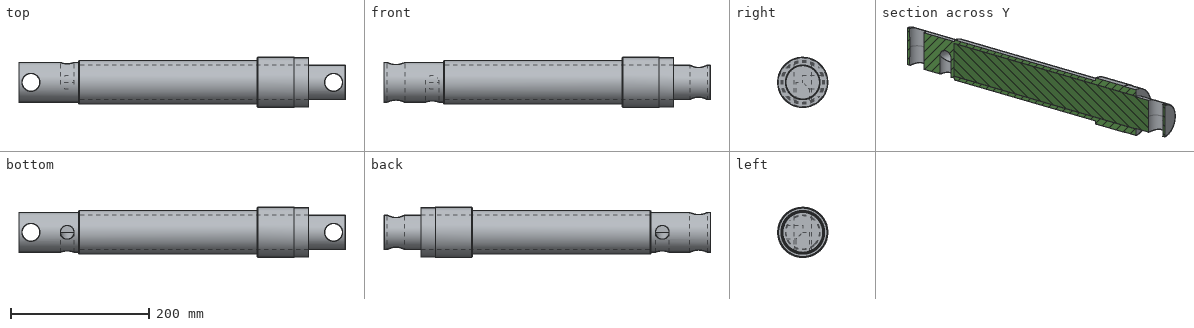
import cadquery as cq

TOTAL_LENGTH = 473.0
TUBE_START = 86.0
HEAD_START = 345.0
COLLAR_START = 398.5
HEAD_END = 419.5

BASE_DIAMETER = 57.5
TUBE_DIAMETER = 63.5
HEAD_DIAMETER = 73.0
COLLAR_DIAMETER = 72.0
ROD_DIAMETER = 50.0
PIN_HOLE_DIAMETER = 25.5
PORT_DIAMETER = 20.0

STEP_CHAMFER = 1.5
ROD_CHAMFER = 1.0

BASE_PIN_X = 17.5
ROD_PIN_X = TOTAL_LENGTH - 17.5
PORT_X = 70.0


def cylinder(start, end, diameter):
    """Cylinder along X between two axial positions."""
    return cq.Workplane("YZ", origin=(start, 0, 0)).circle(diameter / 2).extrude(end - start)


def pin_hole(x):
    """Cutter for a pin hole running through along Z."""
    return cq.Workplane("XY", origin=(x, 0, 0)).circle(PIN_HOLE_DIAMETER / 2).extrude(HEAD_DIAMETER, both=True)


def port(plane):
    """Cutter for a port from the axis outward, along the negative normal of the plane."""
    return cq.Workplane(plane, origin=(PORT_X, 0, 0)).circle(PORT_DIAMETER / 2).extrude(-BASE_DIAMETER)


def make_housing():
    """Stepped housing with a base pin hole, two ports and a blind bore for the rod."""
    base = cylinder(0, TUBE_START, BASE_DIAMETER)
    tube = cylinder(TUBE_START, HEAD_START, TUBE_DIAMETER).faces("<X").chamfer(STEP_CHAMFER)
    head = cylinder(HEAD_START, COLLAR_START, HEAD_DIAMETER).faces("<X").chamfer(STEP_CHAMFER)
    collar = cylinder(COLLAR_START, HEAD_END, COLLAR_DIAMETER)
    body = base.union(tube).union(head).union(collar)
    body = body.cut(pin_hole(BASE_PIN_X))
    for plane in ("XZ", "XY"):
        body = body.cut(port(plane))
    bore = cylinder(TUBE_START, HEAD_END, ROD_DIAMETER)
    return body.cut(bore)


def make_rod():
    """Retracted rod, seated on the floor of the bore, with a pin hole at its outer end."""
    shaft = cylinder(TUBE_START, TOTAL_LENGTH, ROD_DIAMETER).faces(">X").chamfer(ROD_CHAMFER)
    return shaft.cut(pin_hole(ROD_PIN_X))


housing = make_housing()
rod = make_rod()

result = cq.Compound.makeCompound([housing.val(), rod.val()])